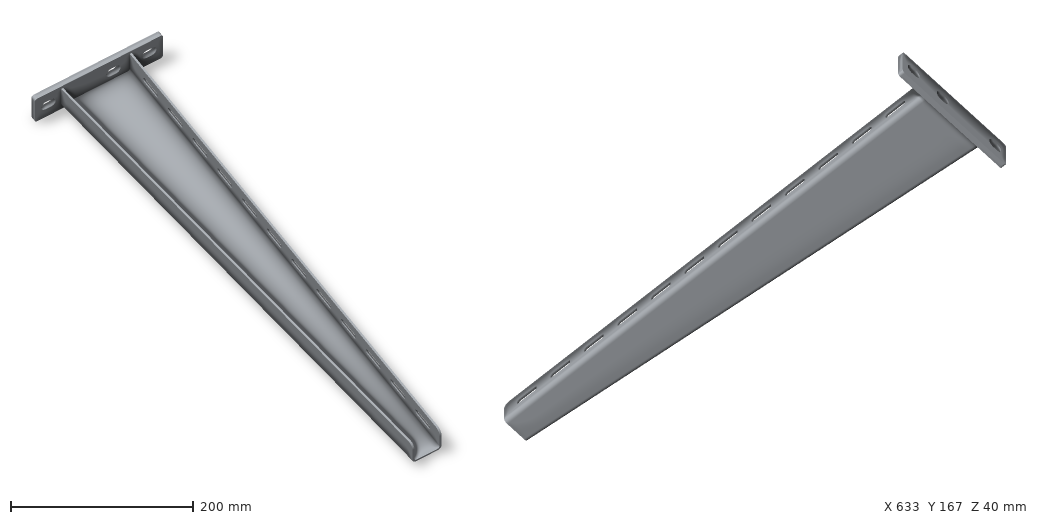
import cadquery as cq
import math

total_length = 633.0
plate_thickness = 7.0
plate_width = 167.0
plate_height = 40.0
plate_corner_radius = 3.0
bolt_slot_length = 19.0
bolt_slot_width = 12.5
outer_bolt_y = 66.0
inner_bolt_y = 19.0

channel_height = 31.5
channel_top = channel_height / 2
sheet = 2.5
inner_bend_radius = 3.0
outer_bend_radius = inner_bend_radius + sheet
back_y = 43.0
front_root_y = -49.5
front_tip_y = 5.0
tip_corner_radius = 8.0

flange_slot_count = 12
flange_slot_pitch = 50.0
first_flange_slot_x = 49.0
flange_slot_length = 30.0
flange_slot_width = 7.0
flange_slot_z = 0.5

channel_length = total_length - plate_thickness
channel_bottom = -channel_height / 2
taper_angle = math.degrees(math.atan2(front_tip_y - front_root_y, channel_length))


def make_plate():
    """Upright plate with rounded corners and three horizontal bolt slots."""
    plate = cq.Workplane("YZ").rect(plate_width, plate_height).extrude(plate_thickness)
    plate = plate.edges("|X").fillet(plate_corner_radius)
    bolt_slots = (
        cq.Workplane("YZ")
        .pushPoints([(y, 0) for y in (-outer_bolt_y, inner_bolt_y, outer_bolt_y)])
        .slot2D(bolt_slot_length, bolt_slot_width)
        .extrude(plate_thickness)
    )
    return plate.cut(bolt_slots)


def tapered_block(inset, bottom, bend_radius):
    """Tapered block whose two long bottom edges are rounded, inset from the channel's sides."""
    sloped_inset = inset / math.cos(math.radians(taper_angle))
    block = (
        cq.Workplane("XY", origin=(0, 0, bottom))
        .polyline([
            (plate_thickness, front_root_y + sloped_inset),
            (total_length, front_tip_y + sloped_inset),
            (total_length, back_y - inset),
            (plate_thickness, back_y - inset),
        ])
        .close()
        .extrude(channel_top - bottom)
    )
    return block.faces("<Z").edges("not(|Y)").fillet(bend_radius)


def tip_corner_cutter():
    """Material outside the rounded upper corner at the free end of both flanges."""
    arc_start_x = total_length - tip_corner_radius
    arc_end_z = channel_top - tip_corner_radius
    arc_reach = tip_corner_radius * math.sin(math.radians(45))
    return (
        cq.Workplane("XZ")
        .moveTo(arc_start_x, channel_top)
        .threePointArc(
            (arc_start_x + arc_reach, arc_end_z + arc_reach),
            (total_length, arc_end_z),
        )
        .lineTo(total_length, channel_top)
        .close()
        .extrude(plate_width / 2, both=True)
    )


def flange_slots():
    """Evenly spaced slots passing through the back flange only."""
    centers = [
        (first_flange_slot_x + i * flange_slot_pitch, flange_slot_z)
        for i in range(flange_slot_count)
    ]
    return (
        cq.Workplane("XZ", origin=(0, back_y, 0))
        .pushPoints(centers)
        .slot2D(flange_slot_length, flange_slot_width)
        .extrude(sheet)
    )


def make_channel():
    """U-shaped channel: straight slotted back flange, flat web and sloped front flange."""
    outside = tapered_block(0, channel_bottom, outer_bend_radius)
    inside = tapered_block(sheet, channel_bottom + sheet, inner_bend_radius)
    return outside.cut(inside).cut(tip_corner_cutter()).cut(flange_slots())


plate = make_plate()
channel = make_channel()
result = cq.Compound.makeCompound([plate.val(), channel.val()])